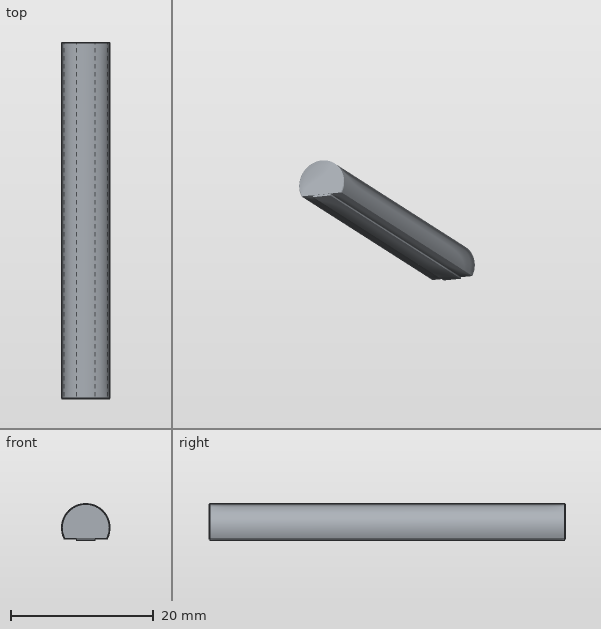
import cadquery as cq

length = 50.0
rod_diameter = 6.8
overall_height = 5.2
rail_width = 2.6
rail_height = 0.25
end_chamfer = 0.1

rod_radius = rod_diameter / 2
rail_bottom = rod_radius - overall_height
flat_level = rail_bottom + rail_height


def make_rod():
    """Round rod with chamfered ends and a flat underside."""
    rod = cq.Workplane("XZ").circle(rod_radius).extrude(length / 2, both=True)
    rod = rod.faces("<Y or >Y").chamfer(end_chamfer)
    below_flat = (
        cq.Workplane("XY", origin=(0, 0, flat_level))
        .rect(rod_diameter, length)
        .extrude(-rod_diameter)
    )
    return rod.cut(below_flat)


def make_rail():
    """Shallow central rail under the flat, stopping where the end chamfers begin."""
    rail_length = length - 2 * end_chamfer
    return (
        cq.Workplane("XY", origin=(0, 0, rail_bottom))
        .rect(rail_width, rail_length)
        .extrude(2 * rail_height)
    )


result = make_rod().union(make_rail())